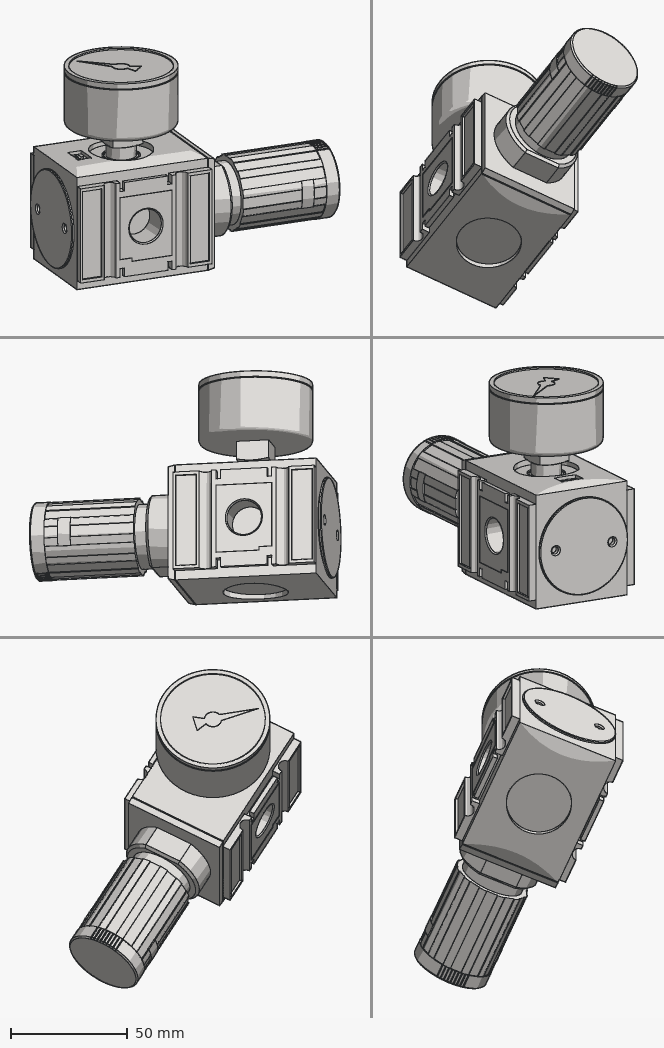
import cadquery as cq
import math


body_width = 44.9
body_length = 62.0
body_edge_height = 51.0
body_crown_height = 54.2
end_bevel_length = 6.2
cover_length = 2.8
seam_width = 0.4
seam_depth = 0.1
spotface_diameter = 28.0
spotface_height = 24.5
arrow_pocket_length = 10.5
arrow_pocket_width = 6.3
arrow_pocket_y = -19.6
arrow_pocket_depth = 1.5
arrow_relief = 0.6
arrow_length = 6.5
arrow_head_length = 3.1
arrow_head_width = 3.6
arrow_shaft_width = 1.3

port_diameter = 15.1
port_mouth_diameter = 16.8
side_port_depth = 12.9
gauge_seat_diameter = 16.5
gauge_seat_depth = 0.6

overall_width = 52.0
pad_height = 42.8
pad_setback = 0.1
channel_diameter = 5.5
channel_offset = 16.9
inset_length = 9.0
inset_height = 40.0
inset_offset = 25.4
inset_depth = 1.0
panel_length = 24.5
panel_top = 14.7
panel_bottom = -15.0
panel_step_length = 5.7
panel_step_height = 1.5
panel_depth = 0.3
notch_width = 2.0
notch_depth = 3.9
tongue_thickness = 2.0

boss_diameter = 37.2
boss_length = 1.0
plate_diameter = 43.5
plate_thickness = 1.0
plate_chamfer = 0.4
pin_hole_diameter = 3.2
pin_hole_mouth_diameter = 4.5
pin_hole_spacing = 27.9
pin_hole_depth = 2.6

nut_diameter = 36.0
nut_across_flats = 31.9
nut_length = 11.0
nut_chamfer = 1.2
neck_diameter = 28.0
neck_length = 5.4
knob_diameter = 33.5
knob_length = 39.2
flute_count = 12
flute_angle = 17.4
flute_depth = 0.5
tab_length = 5.5
tab_gap = 5.9
tab_angle = 43.6
cap_diameter = 33.8
cap_length = 6.5
cap_chamfer = 0.6
grip_count = 9
grip_pitch = 1.5
grip_width = 0.4
grip_depth = 0.5

gauge_diameter = 49.0
gauge_bottom = 38.5
gauge_top = 65.0
gauge_round = 1.9
bezel_height = 2.5
bezel_seam_width = 0.4
bezel_seam_depth = 0.3
dial_diameter = 45.0
dial_depth = 0.6
needle_thickness = 0.3
needle_hub_diameter = 7.4
needle_reach = 20.3
needle_root_width = 3.1
needle_tail_reach = 8.0
needle_tail_width = 7.1
needle_neck_width = 2.7
needle_angle = 45
stem_width = 14.2
stem_bottom = 29.9
stem_corner_rise = 0.8
stem_neck_diameter = 13.2
stem_collar_diameter = 15.0
stem_collar_height = 0.4

body_front = -body_length / 2
body_back = -body_front
cover_end = body_back + cover_length
nut_end = cover_end + nut_length
neck_end = nut_end + neck_length
knob_end = neck_end + knob_length
cap_end = knob_end + cap_length
boss_end = body_front - boss_length
plate_end = boss_end - plate_thickness

body_half_width = body_width / 2
pad_face = overall_width / 2
body_edge = body_edge_height / 2
body_peak = body_crown_height / 2
gauge_seat_floor = spotface_height - gauge_seat_depth
crown = body_peak - body_edge


def box(x_range, y_range, z_range):
    """Box between the given limits along each axis."""
    sizes = [r[1] - r[0] for r in (x_range, y_range, z_range)]
    corner = (x_range[0], y_range[0], z_range[0])
    return cq.Workplane("XY").box(*sizes, centered=False).translate(corner)


def y_cylinder(diameter, start, end):
    """Cylinder on the main axis between two places along Y."""
    return cq.Workplane("XZ", origin=(0, start, 0)).circle(diameter / 2).extrude(start - end)


def z_cylinder(diameter, bottom, top):
    """Cylinder on the gauge axis between two heights."""
    return cq.Workplane("XY", origin=(0, 0, bottom)).circle(diameter / 2).extrude(top - bottom)


def both_sides(shape):
    """Shape together with its mirror image across the YZ plane."""
    return shape.union(shape.mirror("YZ"))


def port(depth):
    """Port cutter: opens at the origin with a bevelled mouth and runs down along Z."""
    bevel = (port_mouth_diameter - port_diameter) / 2
    profile = [
        (0, 0),
        (port_mouth_diameter / 2, 0),
        (port_diameter / 2, -bevel),
        (port_diameter / 2, -depth),
        (0, -depth),
    ]
    return cq.Workplane("XZ").polyline(profile).close().revolve(360, (0, 0, 0), (0, 1, 0))


def crowned_block():
    """Block along Y whose top and bottom bulge as arcs across the width."""
    return (
        cq.Workplane("XZ", origin=(0, body_front, 0))
        .moveTo(-body_half_width, -body_edge)
        .threePointArc((0, -body_peak), (body_half_width, -body_edge))
        .lineTo(body_half_width, body_edge)
        .threePointArc((0, body_peak), (-body_half_width, body_edge))
        .close()
        .extrude(body_front - cover_end)
    )


def cover_seam():
    """Cutter for the fine groove around the body where the end cover meets it."""
    plane = cq.Workplane("XZ", origin=(0, body_back - seam_width, 0))
    core_width = body_width - 2 * seam_depth
    core_height = body_edge_height - 2 * seam_depth
    core = plane.rect(core_width, core_height).extrude(-seam_width)
    return plane.rect(body_width, body_crown_height).extrude(-seam_width).cut(core)


def bevelled_outline():
    """Prism across X that slopes the crowned faces down towards both ends of the body."""
    cover_edge = body_edge - cover_length * crown / end_bevel_length
    upper = [
        (body_front, body_edge),
        (body_front + end_bevel_length, body_peak),
        (body_back - end_bevel_length, body_peak),
        (cover_end, cover_edge),
    ]
    lower = [(y, -z) for y, z in reversed(upper)]
    return cq.Workplane("YZ").polyline(upper + lower).close().extrude(body_half_width, both=True)


def arrow_pocket():
    """Cutter for the sunk rectangle with a raised flow arrow along X on its floor."""
    floor = body_peak - arrow_pocket_depth
    pocket = (
        cq.Workplane("XY", origin=(0, arrow_pocket_y, floor))
        .rect(arrow_pocket_length, arrow_pocket_width)
        .extrude(arrow_pocket_depth)
    )
    neck_x = arrow_length / 2 - arrow_head_length
    upper = [
        (-arrow_length / 2, arrow_shaft_width / 2),
        (neck_x, arrow_shaft_width / 2),
        (neck_x, arrow_head_width / 2),
    ]
    lower = [(x, -y) for x, y in reversed(upper)]
    arrow = (
        cq.Workplane("XY", origin=(0, arrow_pocket_y, floor))
        .polyline(upper + [(arrow_length / 2, 0)] + lower)
        .close()
        .extrude(arrow_relief)
    )
    return pocket.cut(arrow)


def make_body():
    """Crowned body with a round spotface above and below and the arrow pocket on top."""
    body = crowned_block().intersect(bevelled_outline()).cut(cover_seam())
    spotface = z_cylinder(spotface_diameter, spotface_height, body_peak)
    body = body.cut(spotface).cut(spotface.mirror("XY"))
    return body.cut(arrow_pocket())


def pad_panel():
    """Cutter for the sunk panel around the port, with a step in its lower front corner."""
    half = panel_length / 2
    outline = [
        (-half, panel_top),
        (half, panel_top),
        (half, panel_bottom),
        (-half + panel_step_length, panel_bottom),
        (-half + panel_step_length, panel_bottom + panel_step_height),
        (-half, panel_bottom + panel_step_height),
    ]
    return (
        cq.Workplane("YZ", origin=(-pad_face, 0, 0)).polyline(outline).close().extrude(panel_depth)
    )


def tongue_slot():
    """Cutter for the U-shaped slot that frees a tongue at the upper edge of a pad."""
    outer = panel_length / 2
    top = pad_height / 2
    slot = box((-pad_face, -body_half_width), (-outer, outer), (top - notch_depth, top))
    inner = outer - notch_width
    tongue = box((-pad_face, -pad_face + tongue_thickness), (-inner, inner), (top - notch_depth, top))
    return slot.cut(tongue)


def make_pad():
    """Mounting pad on the -X side."""
    top = pad_height / 2
    pad = box((-pad_face, -body_half_width), (body_front + pad_setback, body_back), (-top, top))
    for side in (-1, 1):
        channel = (
            cq.Workplane("XY", origin=(-pad_face, side * channel_offset, -top))
            .circle(channel_diameter / 2)
            .extrude(pad_height)
        )
        inset = (
            cq.Workplane("YZ", origin=(-pad_face, side * inset_offset, 0))
            .rect(inset_length, inset_height)
            .extrude(inset_depth)
        )
        pad = pad.cut(channel).cut(inset)
    slot = tongue_slot()
    return pad.cut(slot).cut(slot.mirror("XY")).cut(pad_panel())


def make_bottom_plate():
    boss = y_cylinder(boss_diameter, body_front, boss_end)
    plate = y_cylinder(plate_diameter, boss_end, plate_end).edges("<Y").chamfer(plate_chamfer)
    return boss.union(plate)


def pin_holes():
    """Cutters for the two bevelled spanner holes in the bottom plate."""
    bevel = (pin_hole_mouth_diameter - pin_hole_diameter) / 2
    profile = [
        (0, 0),
        (pin_hole_mouth_diameter / 2, 0),
        (pin_hole_diameter / 2, bevel),
        (pin_hole_diameter / 2, pin_hole_depth),
        (0, pin_hole_depth),
    ]
    hole = cq.Workplane("XY").polyline(profile).close().revolve(360, (0, 0, 0), (0, 1, 0))
    return both_sides(hole.translate((-pin_hole_spacing / 2, plate_end, 0)))


def make_nut():
    nut = y_cylinder(nut_diameter, cover_end, nut_end)
    half = nut_diameter / 2
    flats = box((-half, half), (cover_end, nut_end), (-nut_across_flats / 2, nut_across_flats / 2))
    return nut.intersect(flats).faces(">Y").edges().chamfer(nut_chamfer)


def ring_sector(outer_diameter, inner_diameter, start, end, angle):
    """Sector of a ring around the main axis, centred on the -X direction."""
    half = math.radians(angle / 2)
    reach = outer_diameter
    wedge = (
        cq.Workplane("XZ", origin=(0, start, 0))
        .polyline([(0, 0), (-reach, reach * math.tan(half)), (-reach, -reach * math.tan(half))])
        .close()
        .extrude(start - end)
    )
    ring = y_cylinder(outer_diameter, start, end).cut(y_cylinder(inner_diameter, start, end))
    return ring.intersect(wedge)


def make_knob():
    """Fluted knob with a slightly raised tab across the flute on each side."""
    knob = y_cylinder(knob_diameter, neck_end, knob_end)
    root_diameter = knob_diameter - 2 * flute_depth
    flute = ring_sector(cap_diameter, root_diameter, neck_end, knob_end, flute_angle)
    for i in range(flute_count):
        knob = knob.cut(flute.rotate((0, 0, 0), (0, 1, 0), i * 360 / flute_count))
    tab_end = knob_end - tab_gap
    tab = ring_sector(cap_diameter, neck_diameter, tab_end - tab_length, tab_end, tab_angle)
    return knob.union(both_sides(tab))


def make_cap():
    """Knob cap with a patch of grip grooves at its top and bottom."""
    cap = y_cylinder(cap_diameter, knob_end, cap_end).edges(">Y").chamfer(cap_chamfer)
    radius = cap_diameter / 2
    groove = box(
        (-grip_width / 2, grip_width / 2),
        (knob_end, cap_end),
        (radius - grip_depth, radius + grip_depth),
    )
    for i in range(grip_count):
        angle = math.degrees(math.asin((i - (grip_count - 1) / 2) * grip_pitch / radius))
        for side in (0, 180):
            cap = cap.cut(groove.rotate((0, 0, 0), (0, 1, 0), side + angle))
    return cap


def make_needle(bottom):
    """Gauge needle, turned about its hub so the tip points to -X and -Y."""
    plane = cq.Workplane("XY", origin=(0, 0, bottom))
    hub_radius = needle_hub_diameter / 2
    root_x = math.sqrt(hub_radius**2 - (needle_root_width / 2) ** 2)
    neck_x = math.sqrt(hub_radius**2 - (needle_neck_width / 2) ** 2)
    upper = [
        (-root_x, needle_root_width / 2),
        (neck_x, needle_neck_width / 2),
        (needle_tail_reach, needle_tail_width / 2),
    ]
    lower = [(x, -y) for x, y in reversed(upper)]
    arms = plane.polyline([(-needle_reach, 0)] + upper + lower).close().extrude(needle_thickness)
    needle = plane.circle(hub_radius).extrude(needle_thickness).union(arms)
    return needle.rotate((0, 0, 0), (0, 0, 1), needle_angle)


def make_gauge_case():
    case = z_cylinder(gauge_diameter, gauge_bottom, gauge_top).edges("<Z").fillet(gauge_round)
    seam_top = gauge_top - bezel_height
    seam_bottom = seam_top - bezel_seam_width
    seam_core = z_cylinder(gauge_diameter - 2 * bezel_seam_depth, seam_bottom, seam_top)
    case = case.cut(z_cylinder(gauge_diameter, seam_bottom, seam_top).cut(seam_core))
    dial = gauge_top - dial_depth
    case = case.cut(z_cylinder(dial_diameter, dial, gauge_top))
    return case.union(make_needle(dial))


def make_gauge_stem():
    """Square stem, bevelled at its lower corners, on a round neck with a collar in the body seat."""
    stem = (
        cq.Workplane("XY", origin=(0, 0, stem_bottom))
        .rect(stem_width, stem_width)
        .extrude(gauge_bottom - stem_bottom)
    )
    half = stem_width / 2
    corner = half * math.sqrt(2)
    bevel = (
        cq.Workplane("XZ")
        .polyline([
            (0, stem_bottom),
            (half, stem_bottom),
            (corner, stem_bottom + stem_corner_rise),
            (corner, gauge_bottom),
            (0, gauge_bottom),
        ])
        .close()
        .revolve(360, (0, 0, 0), (0, 1, 0))
    )
    neck = z_cylinder(stem_neck_diameter, gauge_seat_floor, stem_bottom)
    collar = z_cylinder(stem_collar_diameter, gauge_seat_floor, gauge_seat_floor + stem_collar_height)
    return stem.intersect(bevel).union(neck).union(collar)


side_port = port(side_port_depth).rotate((0, 0, 0), (0, 1, 0), -90).translate((-pad_face, 0, 0))
gauge_seat = z_cylinder(gauge_seat_diameter, gauge_seat_floor, spotface_height)

result = (
    make_body()
    .union(both_sides(make_pad()))
    .cut(both_sides(side_port))
    .cut(gauge_seat)
    .union(make_bottom_plate())
    .cut(pin_holes())
    .union(make_nut())
    .union(y_cylinder(neck_diameter, nut_end, neck_end))
    .union(make_knob())
    .union(make_cap())
    .union(make_gauge_case())
    .union(make_gauge_stem())
)